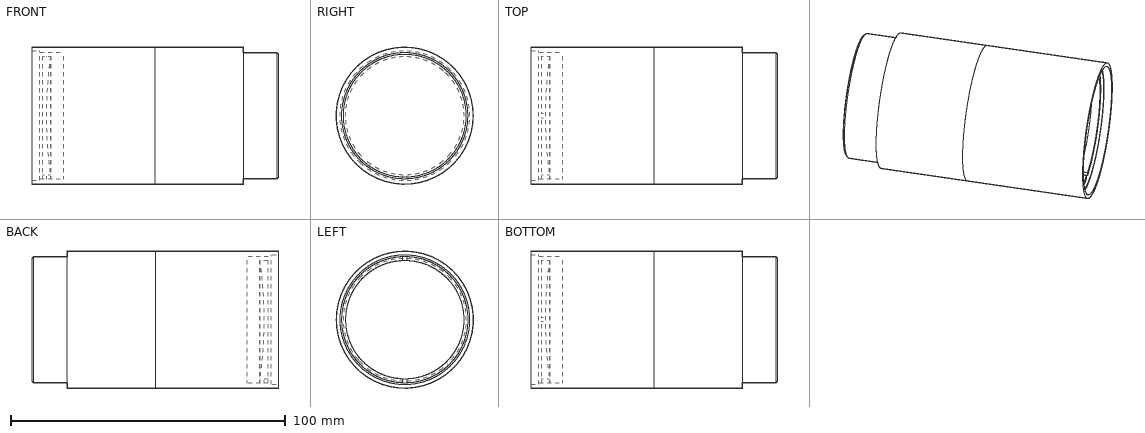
import cadquery as cq
import math

total_length = 89.9
joint_x = 44.8
shoulder_x = 77.0
barrel_radius = 25.0
spigot_radius = 23.0
spigot_chamfer = 0.6

mouth_radius = 23.6
mouth_depth = 2.8
bore_radius = 23.0

ring_face_x = 3.9
ring_length = 3.0
ring_inner_radius = 21.6
slot_width = 1.5
slot_depth = 1.5

lens_bulge = 1.5
lens_edge_thickness = 4.5

ring_back_x = ring_face_x + ring_length
dome_radius = (ring_inner_radius**2 + lens_bulge**2) / (2 * lens_bulge)
lens_apex_x = ring_back_x - lens_bulge


def dome_x(radius):
    """X position of the lens dome at a given distance from the axis."""
    return lens_apex_x + dome_radius - math.sqrt(dome_radius**2 - radius**2)


lens_rim_x = dome_x(bore_radius)
lens_back_x = lens_rim_x + lens_edge_thickness


def cylinder(start_x, end_x, radius):
    """Solid cylinder along X between two planes."""
    return cq.Workplane("YZ", origin=(start_x, 0, 0)).circle(radius).extrude(end_x - start_x)


def make_front_barrel():
    """Barrel with a stepped bore that ends at the back of the lens."""
    barrel = cylinder(0, joint_x, barrel_radius)
    mouth = cylinder(0, mouth_depth, mouth_radius)
    bore = cylinder(0, lens_back_x, bore_radius)
    return barrel.cut(mouth).cut(bore)


def make_rear_barrel():
    """Barrel with a chamfered spigot of smaller diameter at its far end."""
    barrel = cylinder(joint_x, shoulder_x, barrel_radius)
    spigot = cylinder(shoulder_x, total_length, spigot_radius).faces(">X").chamfer(spigot_chamfer)
    return barrel.union(spigot)


def make_retaining_ring():
    """Ring with two opposite spanner slots, at its top and bottom."""
    ring = cylinder(ring_face_x, ring_back_x, bore_radius)
    opening = cylinder(ring_face_x, ring_back_x, ring_inner_radius)
    slots = cq.Workplane("XY").box(slot_depth, slot_width, 2 * bore_radius, centered=(False, True, True))
    return ring.cut(opening).cut(slots.translate((ring_face_x, 0, 0)))


def make_lens():
    """Flat-backed lens whose dome rests on the back inner edge of the ring."""
    mid_radius = bore_radius / 2
    return (
        cq.Workplane("XY")
        .moveTo(lens_apex_x, 0)
        .threePointArc((dome_x(mid_radius), mid_radius), (lens_rim_x, bore_radius))
        .lineTo(lens_back_x, bore_radius)
        .lineTo(lens_back_x, 0)
        .close()
        .revolve(360, (0, 0, 0), (1, 0, 0))
    )


front_barrel = make_front_barrel()
rear_barrel = make_rear_barrel()
retaining_ring = make_retaining_ring()
lens = make_lens()

result = cq.Compound.makeCompound([
    front_barrel.val(),
    rear_barrel.val(),
    retaining_ring.val(),
    lens.val(),
])